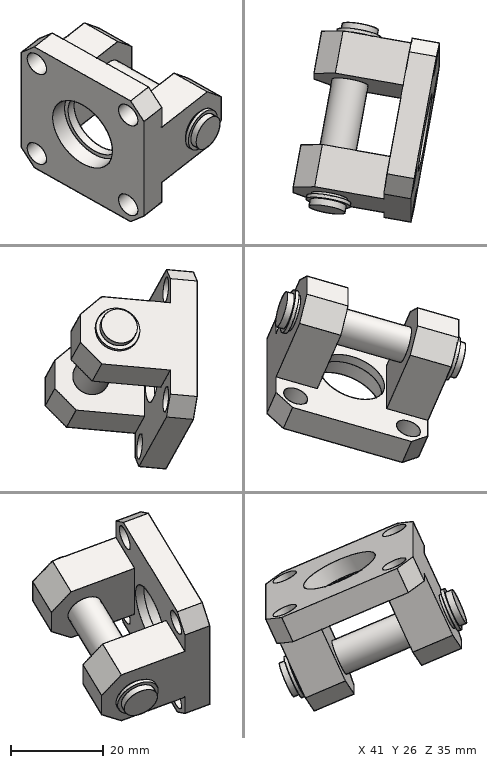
import cadquery as cq

plate_size = 35.0
plate_thickness = 6.0
corner_chamfer = 3.8
mount_hole_diameter = 5.5
mount_hole_spacing = 26.0
bore_diameter = 15.0
recess_diameter = 17.0
recess_depth = 4.0

overall_depth = 26.0
lug_gap = 16.0
lug_height = 16.0
lug_chamfer_along_y = 4.75
lug_chamfer_along_z = 4.65
lug_width = (plate_size - lug_gap) / 2

pin_diameter = 8.0
pin_length = 41.0
pin_y = 18.0
ring_thickness = 0.8
ring_clearance = 0.7
left_ring_diameter = 9.75
right_ring_diameter = 9.7


def cylinder_along_y(diameter, length):
    """Cylinder on the Y axis from Y = 0 towards +Y."""
    return cq.Workplane("XZ").circle(diameter / 2).extrude(-length)


def cylinder_along_x(diameter, length, start_x):
    """Cylinder on the pin axis from start_x towards +X."""
    return cq.Workplane("YZ", origin=(start_x, pin_y, 0)).circle(diameter / 2).extrude(length)


def make_plate():
    """Square plate with chamfered corners and four mounting holes."""
    plate = cq.Workplane("XZ").rect(plate_size, plate_size).extrude(-plate_thickness)
    plate = plate.edges("|Y").chamfer(corner_chamfer)
    holes = (
        cq.Workplane("XZ")
        .rect(mount_hole_spacing, mount_hole_spacing, forConstruction=True)
        .vertices()
        .circle(mount_hole_diameter / 2)
        .extrude(-plate_thickness)
    )
    return plate.cut(holes)


def make_lug(start_x):
    """Lug with sloped corners at its free end, from start_x towards +X."""
    half_height = lug_height / 2
    end_half_height = half_height - lug_chamfer_along_z
    slope_start_y = overall_depth - lug_chamfer_along_y
    outline = [
        (0, -half_height),
        (slope_start_y, -half_height),
        (overall_depth, -end_half_height),
        (overall_depth, end_half_height),
        (slope_start_y, half_height),
        (0, half_height),
    ]
    return cq.Workplane("YZ", origin=(start_x, 0, 0)).polyline(outline).close().extrude(lug_width)


def make_pin():
    """Plain pin with its two retaining rings."""
    ring_inner_x = plate_size / 2 + ring_clearance
    ring_outer_x = ring_inner_x + ring_thickness
    pin = cylinder_along_x(pin_diameter, pin_length, -pin_length / 2)
    left_ring = cylinder_along_x(left_ring_diameter, ring_thickness, -ring_outer_x)
    right_ring = cylinder_along_x(right_ring_diameter, ring_thickness, ring_inner_x)
    return pin.union(left_ring).union(right_ring)


body = make_plate()
for lug_start_x in (-plate_size / 2, lug_gap / 2):
    body = body.union(make_lug(lug_start_x))

body = body.cut(cylinder_along_y(bore_diameter, plate_thickness))
body = body.cut(cylinder_along_y(recess_diameter, recess_depth))

result = body.union(make_pin())